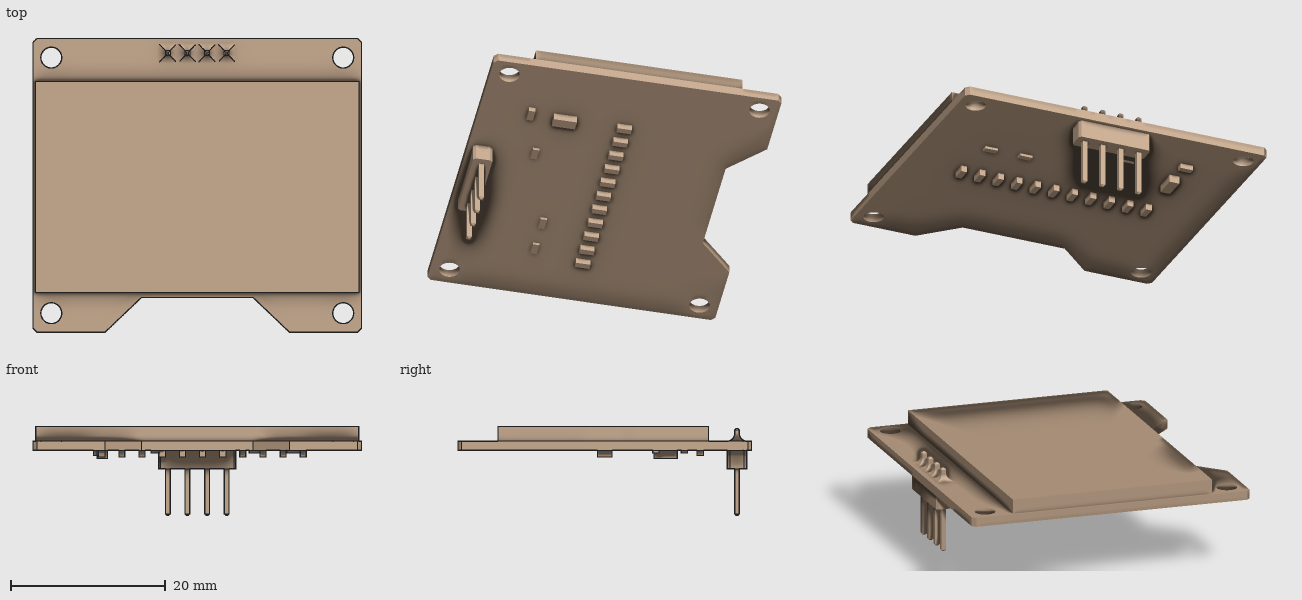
import cadquery as cq

BOARD_LENGTH = 42.49
BOARD_WIDTH = 38.0
TOTAL_HEIGHT = 11.49

BOARD_THICKNESS = 1.2
CORNER_CHAMFER = 0.5
NOTCH_OUTER_LENGTH = 23.85
NOTCH_INNER_LENGTH = 14.4
NOTCH_DEPTH = 4.5

HOLE_DIAMETER = 2.67
PLATING_DIAMETER = 3.43
HOLE_SPACING_X = 37.75
HOLE_SPACING_Y = 33.05

DISPLAY_LENGTH = 41.8
DISPLAY_WIDTH = 27.25
DISPLAY_HEIGHT = 1.9
DISPLAY_CENTER_Y = -0.2

PIN_COUNT = 4
PIN_PITCH = 2.54
PIN_SIZE = 0.64
PIN_TIP_CHAMFER = 0.2
PIN_RISE = 1.65
HEADER_CENTER_Y = 17.1
HEADER_LENGTH = 10.02
HEADER_WIDTH = 2.54
HEADER_HEIGHT = 2.4
HEADER_CHAMFER_X = 0.25
HEADER_CHAMFER_Y = 0.36

SOLDER_LENGTH = 2.4
SOLDER_WIDTH = 2.54
SOLDER_HEIGHT = 1.1
SOLDER_BOW = 0.23

ROW_COUNT = 11
ROW_PITCH = 2.607
ROW_CENTER_X = 0.68
ROW_PART_LENGTH = 0.8
ROW_PART_WIDTH = 1.9
ROW_PART_HEIGHT = 0.85

CHIP_LENGTH = 1.35
CHIP_WIDTH = 3.05
CHIP_HEIGHT = 1.05
CHIP_CENTER = (-12.27, 7.87)

SMALL_PART_LENGTH = 1.75
SMALL_PART_WIDTH = 0.85
CAPACITOR_HEIGHT = 0.67
CAPACITOR_CENTER = (-12.55, 12.35)
FLAT_PART_HEIGHT = 0.34
FLAT_PART_CENTERS = [(-5.13, 10.3), (7.57, 6.6), (12.45, 6.6)]

PIN_BOTTOM = BOARD_THICKNESS + DISPLAY_HEIGHT - TOTAL_HEIGHT
PIN_POSITIONS = [
    ((i - (PIN_COUNT - 1) / 2) * PIN_PITCH, HEADER_CENTER_Y) for i in range(PIN_COUNT)
]
HOLE_POSITIONS = [
    (side_x * HOLE_SPACING_X / 2, side_y * HOLE_SPACING_Y / 2)
    for side_x in (-1, 1)
    for side_y in (-1, 1)
]


def box_up(length, width, height, center, bottom):
    """Box standing on the level `bottom`, centred on `center` in plan."""
    return cq.Workplane("XY").box(length, width, height, centered=(True, True, False)).translate(
        (center[0], center[1], bottom)
    )


def make_board():
    """Board with chamfered corners and a trapezoidal notch in the -Y edge."""
    board = box_up(BOARD_LENGTH, BOARD_WIDTH, BOARD_THICKNESS, (0, 0), 0)
    board = board.edges("|Z").chamfer(CORNER_CHAMFER)
    front_edge = -BOARD_WIDTH / 2
    notch = (
        cq.Workplane("XY")
        .moveTo(-NOTCH_OUTER_LENGTH / 2, front_edge)
        .lineTo(-NOTCH_INNER_LENGTH / 2, front_edge + NOTCH_DEPTH)
        .lineTo(NOTCH_INNER_LENGTH / 2, front_edge + NOTCH_DEPTH)
        .lineTo(NOTCH_OUTER_LENGTH / 2, front_edge)
        .close()
        .extrude(BOARD_THICKNESS)
    )
    return board.cut(notch)


def make_display():
    return box_up(
        DISPLAY_LENGTH, DISPLAY_WIDTH, DISPLAY_HEIGHT, (0, DISPLAY_CENTER_Y), BOARD_THICKNESS
    )


def make_header_body():
    """Plastic block of the pin header, its upright corners cut off."""
    half_length = HEADER_LENGTH / 2
    half_width = HEADER_WIDTH / 2
    quarter = [
        (half_length, half_width - HEADER_CHAMFER_Y),
        (half_length - HEADER_CHAMFER_X, half_width),
    ]
    upper = quarter + [(-x, y) for x, y in reversed(quarter)]
    lower = [(-x, -y) for x, y in upper]
    return (
        cq.Workplane("XY")
        .polyline(upper + lower)
        .close()
        .extrude(-HEADER_HEIGHT)
        .translate((0, HEADER_CENTER_Y, 0))
    )


def make_pin(center):
    """Square pin with chamfered tips, running through header and board."""
    pin_length = BOARD_THICKNESS + PIN_RISE - PIN_BOTTOM
    pin = box_up(PIN_SIZE, PIN_SIZE, pin_length, center, PIN_BOTTOM)
    return pin.faces("<Z or >Z").edges().chamfer(PIN_TIP_CHAMFER)


def make_flare(plane, base_size, depth):
    """Prism through the pin axis whose two sides curve in from the base to the pin."""
    half_base = base_size / 2
    half_top = PIN_SIZE / 2
    middle_x = (half_base + half_top) / 2 - SOLDER_BOW
    middle_z = SOLDER_HEIGHT / 2 - SOLDER_BOW
    return (
        cq.Workplane(plane)
        .moveTo(-half_base, 0)
        .threePointArc((-middle_x, middle_z), (-half_top, SOLDER_HEIGHT))
        .lineTo(half_top, SOLDER_HEIGHT)
        .threePointArc((middle_x, middle_z), (half_base, 0))
        .close()
        .extrude(depth / 2, both=True)
    )


def make_solder(center):
    """Four-sided solder fillet with concave faces meeting in mitred edges."""
    along_x = make_flare("XZ", SOLDER_LENGTH, SOLDER_WIDTH)
    along_y = make_flare("YZ", SOLDER_WIDTH, SOLDER_LENGTH)
    return along_x.intersect(along_y).translate((center[0], center[1], BOARD_THICKNESS))


def make_underside_part(length, width, height, center):
    return box_up(length, width, height, center, -height)


def make_underside_parts():
    parts = []
    for i in range(ROW_COUNT):
        x = ROW_CENTER_X + (i - (ROW_COUNT - 1) / 2) * ROW_PITCH
        parts.append(make_underside_part(ROW_PART_LENGTH, ROW_PART_WIDTH, ROW_PART_HEIGHT, (x, 0)))
    parts.append(make_underside_part(CHIP_LENGTH, CHIP_WIDTH, CHIP_HEIGHT, CHIP_CENTER))
    parts.append(
        make_underside_part(SMALL_PART_LENGTH, SMALL_PART_WIDTH, CAPACITOR_HEIGHT, CAPACITOR_CENTER)
    )
    for center in FLAT_PART_CENTERS:
        parts.append(
            make_underside_part(SMALL_PART_LENGTH, SMALL_PART_WIDTH, FLAT_PART_HEIGHT, center)
        )
    return parts


def add_plated_holes(body):
    """Set a flush plated sleeve in each corner, keeping its rim as a separate face."""
    bores = (
        cq.Workplane("XY")
        .pushPoints(HOLE_POSITIONS)
        .circle(PLATING_DIAMETER / 2)
        .extrude(BOARD_THICKNESS)
    )
    sleeves = (
        cq.Workplane("XY")
        .pushPoints(HOLE_POSITIONS)
        .circle(PLATING_DIAMETER / 2)
        .circle(HOLE_DIAMETER / 2)
        .extrude(BOARD_THICKNESS)
    )
    return body.cut(bores).union(sleeves, clean=False)


body = make_board().union(make_display()).union(make_header_body())
for position in PIN_POSITIONS:
    body = body.union(make_solder(position)).union(make_pin(position))
for part in make_underside_parts():
    body = body.union(part)

result = add_plated_holes(body)